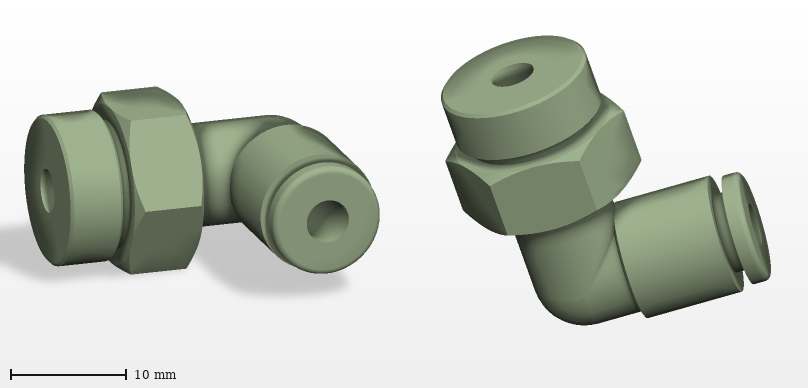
import cadquery as cq
import math

total_length = 25.5

body_radius = 4.5
hex_across_flats = 14.0
hex_across_corners = hex_across_flats / math.cos(math.pi / 6)
hex_start = 8.4
hex_end = 14.7
hex_bevel_angle = math.radians(30)
hex_face_radius = hex_across_flats / 2

sleeve_radius = 5.2
sleeve_start = 3.98
sleeve_end = 12.8
sleeve_taper_length = 0.3
outlet_neck_radius = 3.5
ring_radius = 4.87
ring_start = 13.97
ring_end = 15.5
ring_fillet = 0.5

inlet_neck_radius = 5.64
thread_radius = 6.58
thread_start = 15.53
thread_end = total_length - sleeve_radius
thread_chamfer = 0.25
bore_radius = 1.9
bore_bend_radius = 2.55


def along_inlet(radius, start, end):
    """Cylinder on the inlet axis, between two distances from the elbow centre."""
    return cq.Workplane("XZ", origin=(0, -start, 0)).circle(radius).extrude(end - start)


def along_outlet(radius, start, end):
    """Cylinder on the outlet axis, between two distances from the elbow centre."""
    return cq.Workplane("YZ", origin=(start, 0, 0)).circle(radius).extrude(end - start)


def elbow_body():
    """Two perpendicular cylinders joined by a ball."""
    ball = cq.Workplane("XY").sphere(body_radius)
    inlet = along_inlet(body_radius, 0, hex_start)
    outlet = along_outlet(body_radius, 0, sleeve_start)
    return inlet.union(outlet).union(ball)


def beveled_hexagon():
    """Hexagon with corners on the X axis, its corners turned off conically at both ends."""
    prism = (
        cq.Workplane("XZ", origin=(0, -hex_start, 0))
        .polygon(6, hex_across_corners)
        .extrude(hex_end - hex_start)
    )
    envelope_radius = hex_across_corners / 2 + 0.25
    bevel = (envelope_radius - hex_face_radius) * math.tan(hex_bevel_angle)
    envelope = (
        cq.Workplane("XY")
        .moveTo(0, -hex_start)
        .lineTo(hex_face_radius, -hex_start)
        .lineTo(envelope_radius, -hex_start - bevel)
        .lineTo(envelope_radius, -hex_end + bevel)
        .lineTo(hex_face_radius, -hex_end)
        .lineTo(0, -hex_end)
        .close()
        .revolve(360, (0, 0, 0), (0, 1, 0))
    )
    return prism.intersect(envelope)


def outlet_end():
    """Sleeve, neck and release ring of the push-in outlet."""
    sleeve = (
        cq.Workplane("XY")
        .moveTo(sleeve_start, 0)
        .lineTo(sleeve_start, body_radius)
        .lineTo(sleeve_start + sleeve_taper_length, sleeve_radius)
        .lineTo(sleeve_end, sleeve_radius)
        .lineTo(sleeve_end, 0)
        .close()
        .revolve(360, (0, 0, 0), (1, 0, 0))
    )
    neck = along_outlet(outlet_neck_radius, sleeve_end, ring_start)
    ring = along_outlet(ring_radius, ring_start, ring_end).faces(">X").edges().fillet(ring_fillet)
    return sleeve.union(neck).union(ring)


def inlet_end():
    """Undercut neck and threaded spigot, drawn smooth, of the inlet."""
    neck = along_inlet(inlet_neck_radius, hex_end, thread_start)
    spigot = along_inlet(thread_radius, thread_start, thread_end).edges().chamfer(thread_chamfer)
    return neck.union(spigot)


def passage():
    """Round passage that turns the corner in a smooth bend and opens at both ends."""
    inlet = along_inlet(bore_radius, bore_bend_radius, thread_end)
    outlet = along_outlet(bore_radius, bore_bend_radius, ring_end)
    bend_axis_top = (bore_bend_radius, 0.25, 0)
    bend_axis_base = (bore_bend_radius, 0, 0)
    bend = (
        cq.Workplane("XZ", origin=(0, -bore_bend_radius, 0))
        .circle(bore_radius)
        .revolve(90, bend_axis_top, bend_axis_base)
    )
    return inlet.union(bend).union(outlet)


solid = elbow_body().union(beveled_hexagon()).union(outlet_end()).union(inlet_end())
result = solid.cut(passage())